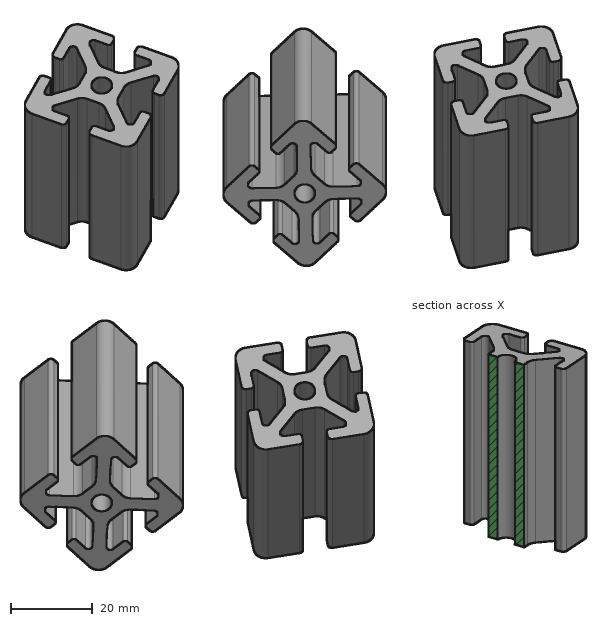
import cadquery as cq

side = 30.0
length = 50.0
corner_radius = 3.0

mouth_width = 6.2
lip_thickness = 3.0
lip_outer_radius = 1.0
lip_inner_radius = 0.75
core_width = 10.5
web_offset = 2.4
pocket_radius = 1
floor_radius = 3

bore_diameter = 5.0

half_side = side / 2
half_mouth = mouth_width / 2
half_core = core_width / 2
lip_back = half_side - lip_thickness


def slot_cutter():
    """T-slot opening toward +Y, with its long edges rounded."""
    floor_x = half_core - web_offset
    pocket_x = lip_back - web_offset
    right_outline = [
        (floor_x, half_core),
        (pocket_x, lip_back),
        (half_mouth, lip_back),
        (half_mouth, half_side),
    ]
    left_outline = [(-x, y) for x, y in reversed(right_outline)]
    slot = cq.Workplane("XY").polyline(right_outline + left_outline).close().extrude(length)
    slot = round_slot_edges(slot, floor_x, half_core, floor_radius)
    slot = round_slot_edges(slot, pocket_x, lip_back, pocket_radius)
    return round_slot_edges(slot, half_mouth, lip_back, lip_inner_radius)


def round_slot_edges(body, x, y, radius):
    """Fillet the two mirrored vertical edges at (x, y) and (-x, y)."""
    middle = length / 2
    for edge_x in (x, -x):
        body = body.edges(cq.selectors.NearestToPointSelector((edge_x, y, middle))).fillet(radius)
    return body


profile = cq.Workplane("XY").rect(side, side).extrude(length).edges("|Z").fillet(corner_radius)

slot = slot_cutter()
for quarter_turn in range(4):
    profile = profile.cut(slot.rotate((0, 0, 0), (0, 0, 1), 90 * quarter_turn))

for quarter_turn in range(4):
    profile = profile.rotate((0, 0, 0), (0, 0, 1), 90)
    profile = round_slot_edges(profile, half_mouth, half_side, lip_outer_radius)

bore = cq.Workplane("XY").circle(bore_diameter / 2).extrude(length)
result = profile.cut(bore)